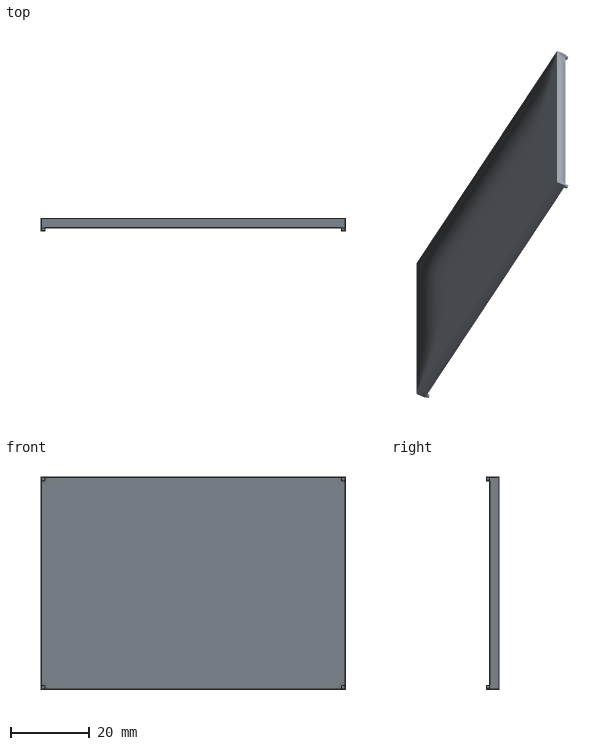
import cadquery as cq

plate_width = 77.4
plate_height = 54.0
plate_thickness = 2.4

pin_diameter = 1.0
pin_length = 0.8
pin_pitch_x = plate_width - pin_diameter
pin_pitch_z = plate_height - pin_diameter


def make_plate():
    """Flat plate centred on X and Z, with its pin face on Y = 0."""
    return cq.Workplane("XY").box(
        plate_width, plate_thickness, plate_height, centered=(True, False, True)
    )


def add_corner_pins(body):
    """Add one pin at each corner, pointing toward -Y."""
    pins = (
        cq.Workplane("XZ")
        .rarray(pin_pitch_x, pin_pitch_z, 2, 2)
        .circle(pin_diameter / 2)
        .extrude(pin_length)
    )
    return body.union(pins)


result = add_corner_pins(make_plate())